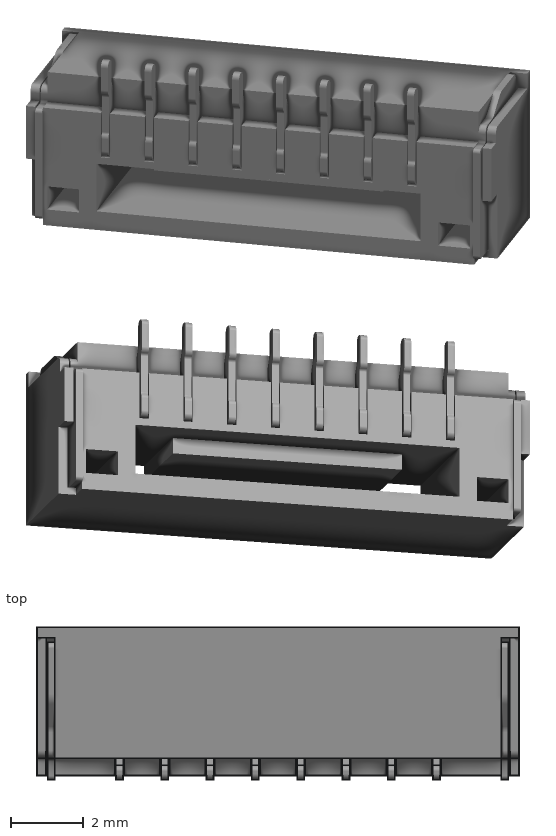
import cadquery as cq

length = 13.25
depth = 4.08
height = 4.3
ledge_depth = 0.48
ledge_height = 3.43

plate_thickness = 0.25
end_thickness = 0.49
slot_back = 3.79
slot_floor = 0.2
plate_height = 3.87
plate_round = 0.2
plate_notch_depth = 0.65
plate_notch_height = 1.9

clip_thickness = 0.2
clip_back = 3.66
clip_height = 4.35
clip_shoulder = 3.87
clip_foot_height = 3.4
clip_ramp_top = 2.1
clip_ramp_bottom = 1.27
clip_protrusion = 0.12
clip_back_round = 0.16
clip_ramp_top_round = 0.5
clip_ramp_bottom_round = 0.29
clip_shoulder_round = 0.2
clip_inner_round = 0.08
clip_foot_round = 0.1

window_length = 9.22
window_bottom = 0.54
window_top = 1.93
tongue_length = 6.52
tongue_bottom = 1.5
tongue_front = 1.06
side_hole_length = 0.9
side_hole_offset = 5.56
side_hole_bottom = 0.46
side_hole_top = 1.14

pin_count = 8
pin_pitch = 1.25
pin_width = 0.2
pin_groove_width = 0.26
pin_groove_floor = 2.13
pin_bottom = 2.17
pin_top = 4.95
pin_tail_thickness = 0.4
pin_tail_protrusion = 0.12
pin_pad_protrusion = 0.07
pin_tip_round = 0.16
pin_bend_outer_round = 0.17
pin_bend_inner_round = 0.09

pin_tail_bend_top = 4.04
pin_tail_bend_bottom = 3.96
pin_pad_bend_top = 2.85
pin_pad_bend_bottom = 2.77
pin_back_slope_top = 4.25
pin_back_slope_bottom = 3.92


def box(x_range, y_range, z_range):
    """Axis-aligned block spanning the given ranges."""
    (x0, x1), (y0, y1), (z0, z1) = x_range, y_range, z_range
    return cq.Workplane("XY").box(x1 - x0, y1 - y0, z1 - z0, centered=False).translate((x0, y0, z0))


def rounded_strip(x_start, width, corners):
    """Strip with a YZ outline of (y, z, radius) corners, extruded along +X; radius 0 stays sharp."""
    outline = [(y, z) for y, z, radius in corners]
    strip = cq.Workplane("YZ").polyline(outline).close().extrude(width)
    for y, z, radius in corners:
        if radius > 0:
            corner_edge = cq.selectors.NearestToPointSelector((width / 2, y, z))
            strip = strip.edges("|X").edges(corner_edge).fillet(radius)
    return strip.translate((x_start, 0, 0))


def both_ends(solid):
    """The solid together with its mirror image across the middle of the part."""
    return solid.union(solid.mirror("YZ"))


def end_cuts():
    """Material removed from the -X end: above and below the outer plate, and the clip slot."""
    outside = -length / 2
    plate_inside = outside + plate_thickness
    slot_inside = outside + end_thickness
    slot = box((plate_inside, slot_inside), (0, slot_back), (slot_floor, height))
    above_plate = box((outside, slot_inside), (0, slot_back), (plate_height, height))
    below_plate = box((outside, plate_inside), (0, plate_notch_depth), (0, plate_notch_height))
    below_slot = box((plate_inside, slot_inside), (0, plate_notch_depth), (0, slot_floor))
    return slot.union(above_plate).union(below_plate).union(below_slot)


def make_housing():
    half = length / 2
    housing = box((-half, half), (0, depth), (0, height))
    housing = housing.cut(box((-half, half), (0, ledge_depth), (ledge_height, height)))
    housing = housing.cut(both_ends(end_cuts()))
    tolerance = 0.01
    plate_edges = cq.selectors.BoxSelector(
        (-half, ledge_depth - tolerance, plate_height - tolerance),
        (half, ledge_depth + tolerance, plate_height + tolerance),
    )
    return housing.edges("|X").edges(plate_edges).fillet(plate_round)


def make_openings():
    """Main window with a tongue hanging from its ceiling, and a small hole on each side."""
    half_window = window_length / 2
    half_tongue = tongue_length / 2
    window = box((-half_window, half_window), (0, depth), (window_bottom, window_top))
    tongue = box((-half_tongue, half_tongue), (tongue_front, depth), (tongue_bottom, window_top))
    hole_start = -side_hole_offset - side_hole_length / 2
    hole_end = hole_start + side_hole_length
    side_hole = box((hole_start, hole_end), (0, depth), (side_hole_bottom, side_hole_top))
    return window.cut(tongue).union(both_ends(side_hole))


def make_clip():
    """Clip at the -X end, bearing on the inner wall of its slot."""
    corners = [
        (clip_back, slot_floor, 0),
        (clip_back, clip_height, clip_back_round),
        (clip_ramp_top, clip_height, clip_ramp_top_round),
        (clip_ramp_bottom, clip_shoulder, clip_ramp_bottom_round),
        (ledge_depth, clip_shoulder, clip_shoulder_round),
        (ledge_depth, clip_foot_height, clip_inner_round),
        (-clip_protrusion, clip_foot_height, clip_foot_round),
        (-clip_protrusion, slot_floor, clip_foot_round),
    ]
    return rounded_strip(-length / 2 + end_thickness - clip_thickness, clip_thickness, corners)


def make_pin(x):
    """Contact with an upright solder tail, a recessed neck and a rounded lower pad."""
    tail_back = pin_tail_thickness - pin_tail_protrusion
    corners = [
        (ledge_depth, pin_bottom, 0),
        (ledge_depth, pin_back_slope_bottom, 0),
        (tail_back, pin_back_slope_top, 0),
        (tail_back, pin_top, pin_tip_round),
        (-pin_tail_protrusion, pin_top, pin_tip_round),
        (-pin_tail_protrusion, pin_tail_bend_top, pin_bend_outer_round),
        (0, pin_tail_bend_bottom, pin_bend_inner_round),
        (0, pin_pad_bend_top, pin_bend_inner_round),
        (-pin_pad_protrusion, pin_pad_bend_bottom, pin_bend_outer_round),
        (-pin_pad_protrusion, pin_bottom, pin_tip_round),
    ]
    return rounded_strip(x - pin_width / 2, pin_width, corners)


def make_pin_groove(x):
    half = pin_groove_width / 2
    return box((x - half, x + half), (0, ledge_depth), (pin_groove_floor, ledge_height))


result = make_housing().cut(make_openings()).union(both_ends(make_clip()))
for index in range(pin_count):
    pin_x = (index - (pin_count - 1) / 2) * pin_pitch
    result = result.cut(make_pin_groove(pin_x)).union(make_pin(pin_x))